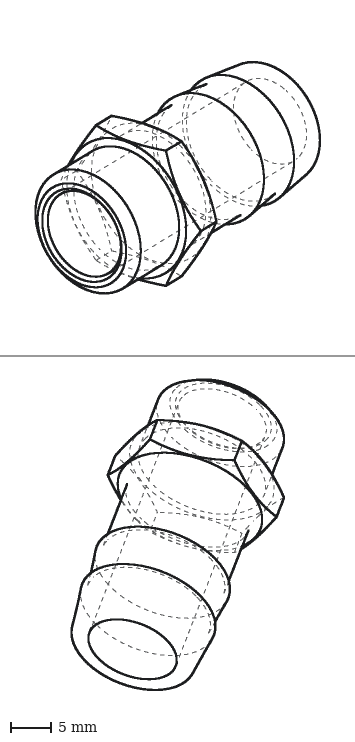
import cadquery as cq
import math

length = 38.0
bore_radius = 5.75
mouth_chamfer = 0.5

hex_start = 9.0
hex_width = 4.98
hex_end = hex_start + hex_width
hex_fillet = 1.05
barb_ends = [25.5, 31.58]
tip_radius = 0.38

spigot_radius = 8.3
nose_radius = 6.95
nose_length = 1.25

across_flats = 19.0
corner_radius = across_flats / math.sqrt(3)
hex_face_radius = 9.4
hex_chamfer_length = (corner_radius - hex_face_radius) * math.tan(math.radians(30))

tail_radius = 8.05
barb_radius = 8.78
barb_root_fillet = 0.2


def revolve_about_y(profile):
    return profile.close().revolve(360, (0, 0, 0), (0, 1, 0))


def make_spigot():
    profile = (
        cq.Workplane("XY")
        .lineTo(nose_radius, 0)
        .lineTo(spigot_radius, nose_length)
        .lineTo(spigot_radius, hex_start)
        .lineTo(0, hex_start)
    )
    return revolve_about_y(profile)


def make_hexagon():
    prism = (
        cq.Workplane("XZ", origin=(0, hex_start, 0))
        .polygon(6, 2 * corner_radius)
        .extrude(-hex_width)
    )
    envelope = (
        cq.Workplane("XY")
        .moveTo(0, hex_start)
        .lineTo(hex_face_radius, hex_start)
        .lineTo(corner_radius, hex_start + hex_chamfer_length)
        .lineTo(corner_radius, hex_end - hex_chamfer_length)
        .lineTo(hex_face_radius, hex_end)
        .lineTo(0, hex_end)
    )
    return prism.intersect(revolve_about_y(envelope))


def make_tail():
    profile = (
        cq.Workplane("XY")
        .moveTo(0, hex_end)
        .lineTo(tail_radius + hex_fillet, hex_end)
        .radiusArc((tail_radius, hex_end + hex_fillet), hex_fillet)
        .lineTo(tail_radius, length - tip_radius)
        .radiusArc((tail_radius - tip_radius, length), -tip_radius)
        .lineTo(0, length)
    )
    return revolve_about_y(profile)


def make_barb(wide_end, narrow_end):
    profile = (
        cq.Workplane("XY")
        .moveTo(0, wide_end - barb_root_fillet)
        .lineTo(tail_radius, wide_end - barb_root_fillet)
        .radiusArc((tail_radius + barb_root_fillet, wide_end), barb_root_fillet)
        .lineTo(barb_radius, wide_end)
        .lineTo(tail_radius, narrow_end)
        .lineTo(0, narrow_end)
    )
    return revolve_about_y(profile)


def make_bore():
    profile = (
        cq.Workplane("XY")
        .lineTo(bore_radius + mouth_chamfer, 0)
        .lineTo(bore_radius, mouth_chamfer)
        .lineTo(bore_radius, length)
        .lineTo(0, length)
    )
    return revolve_about_y(profile)


body = make_spigot().union(make_hexagon()).union(make_tail())

barb_tops = [barb_ends[1] - barb_root_fillet, length - tip_radius]
for wide_end, narrow_end in zip(barb_ends, barb_tops):
    body = body.union(make_barb(wide_end, narrow_end))

result = body.cut(make_bore())